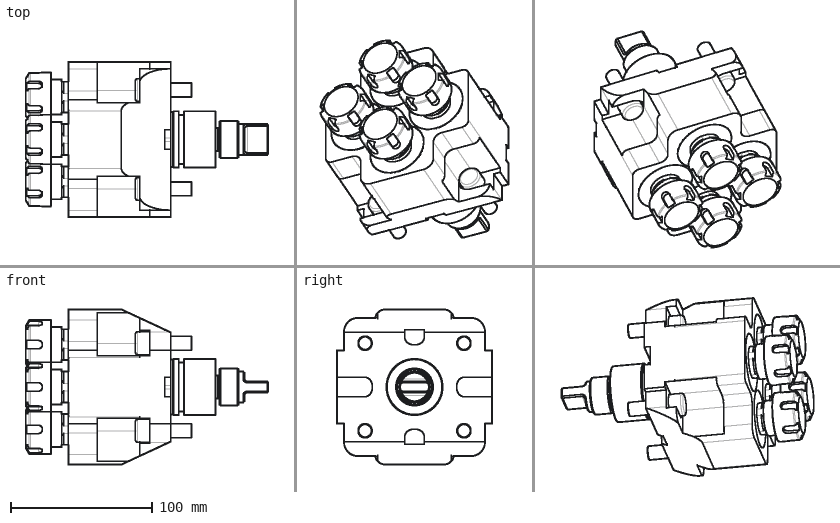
import cadquery as cq
import math


BODY_SPAN = 110.0
BODY_LENGTH = 72.5
TALL_ARM_WIDTH = 56.0
WIDE_ARM_HEIGHT = 52.0
TALL_ARM_RADIUS = 7.5
WIDE_ARM_RADIUS = 5.0
INNER_CORNER_RADIUS = 6.5
SLOPE_LENGTH = 35.0
SLOPE_ANGLE = 25.0

FLANGE_THICKNESS = 22.0
FLANGE_WIDTH = 100.0
FLANGE_HEIGHT = 98.0
FLANGE_RADIUS = 10.0

BOLT_Y = 35.0
BOLT_Z = 31.0
BOLT_DIAMETER = 10.0
BOLT_PROTRUSION = 15.0
BOLT_END_CHAMFER = 0.5
BOLT_HEAD_DIAMETER = 16.0
BOLT_HEAD_HEIGHT = 10.0
BOLT_HEAD_FILLET = 1.4
BOLT_SEAT_X = -15.0
POCKET_START_X = -52.0
POCKET_RADIUS = 9.0

KEY_SLOT_WIDTH = 14.0
KEY_SLOT_DEPTH = 4.2
KEY_SLOT_FLOOR_RADIUS = 30.0
KEY_SLOT_CORNER_RADIUS = 5.7

SPINDLE_OFFSET = 30.0
SEAL_OUTER_DIAMETER = 41.2
SEAL_INNER_DIAMETER = 41.0
SEAL_DEPTH = 1.0
NECK_DIAMETER = 22.6
NECK_CONE_DIAMETER = 24.0
NECK_CONE_LENGTH = 1.7
NECK_LENGTH = 4.85
NECK_ACROSS_FLATS = 22.0
COLLAR_DIAMETER = 25.0
COLLAR_LENGTH = 7.3
NUT_DIAMETER = 35.0
NUT_FACE_DIAMETER = 26.0
NUT_LENGTH = 18.2
NUT_CONE_ANGLE = 60.0
NUT_FILLET = 1.0
NUT_BACK_CHAMFER = 0.4
NUT_SLOT_COUNT = 6
NUT_SLOT_WIDTH = 6.0
NUT_SLOT_LENGTH = 12.0
NUT_SLOT_FLOOR_RADIUS = 14.3

PILOT_DIAMETER = 40.0
PILOT_LENGTH = 32.0
PILOT_CHAMFER = 0.5
UNDERCUT_DIAMETER = 39.2
UNDERCUT_END_X = 1.5
SEAL_GROOVE_DIAMETER = 35.0
SEAL_GROOVE_START_X = 5.7
SEAL_GROOVE_END_X = 9.1
SHAFT_SHOULDER_DIAMETER = 16.6
SHAFT_SHOULDER_END_X = 33.2
SHAFT_DIAMETER = 16.0
DRIVE_DIAMETER = 26.5
DRIVE_START_X = 34.2
DRIVE_END_X = 48.2
DRIVE_CHAMFER = 1.0
TANG_DIAMETER = 22.0
TANG_ROOT_X = 52.2
TANG_ROOT_FILLET = 2.0
TANG_THICKNESS = 8.0
TANG_EDGE_CHAMFER = 1.0
TANG_END_X = 69.17
TANG_END_CHAMFER = 1.0

SIDES = (-1, 1)
CORNERS = [(y_side, z_side) for y_side in SIDES for z_side in SIDES]
QUARTER_TURNS = (0, 90, 180, 270)
SELECTION_MARGIN = 1.0


def block(x_start, x_end, width, height):
    """Box from x_start to x_end, centred on the drive axis."""
    return cq.Workplane("XY").box(x_end - x_start, width, height).translate(((x_start + x_end) / 2, 0, 0))


def disc(x_start, x_end, diameter, y=0.0, z=0.0):
    """Cylinder along X from x_start to x_end."""
    return cq.Workplane("YZ", origin=(x_start, y, z)).circle(diameter / 2).extrude(x_end - x_start)


def make_cross():
    tall_arm = block(-BODY_LENGTH, 0, TALL_ARM_WIDTH, BODY_SPAN).edges("|X").fillet(TALL_ARM_RADIUS)
    wide_arm = block(-BODY_LENGTH, 0, BODY_SPAN, WIDE_ARM_HEIGHT).edges("|X").fillet(WIDE_ARM_RADIUS)
    reach_y = TALL_ARM_WIDTH / 2 + SELECTION_MARGIN
    reach_z = WIDE_ARM_HEIGHT / 2 + SELECTION_MARGIN
    inner_corners = cq.selectors.BoxSelector((-BODY_LENGTH, -reach_y, -reach_z), (0, reach_y, reach_z))
    return tall_arm.union(wide_arm).edges("|X").edges(inner_corners).fillet(INNER_CORNER_RADIUS)


def make_flange():
    plate = block(-FLANGE_THICKNESS, 0, FLANGE_WIDTH, FLANGE_HEIGHT).edges("|X").fillet(FLANGE_RADIUS)
    return plate.union(block(-FLANGE_THICKNESS, 0, BODY_SPAN, WIDE_ARM_HEIGHT))


def make_slope_cutter(side):
    """Wedge that slopes the top or bottom of the body down to the mounting face."""
    half_span = BODY_SPAN / 2
    drop = SLOPE_LENGTH * math.tan(math.radians(SLOPE_ANGLE))
    corners = [(-SLOPE_LENGTH, side * half_span), (0, side * half_span), (0, side * (half_span - drop))]
    return cq.Workplane("XZ").polyline(corners).close().extrude(half_span, both=True)


def make_pocket_cutter(y_side, z_side):
    """Clearance for one bolt head: open corner behind the flange, round-ended recess inside it."""
    inner_y = BOLT_Y - POCKET_RADIUS
    inner_z = BOLT_Z - POCKET_RADIUS
    reach = BODY_SPAN / 2 - inner_y
    rise = BODY_SPAN / 2 - inner_z
    corner = (
        cq.Workplane("XY")
        .box(-FLANGE_THICKNESS - POCKET_START_X, reach, rise, centered=False)
        .translate((POCKET_START_X, inner_y, inner_z))
        .edges("|X and <Y and <Z")
        .fillet(POCKET_RADIUS)
    )
    recess = disc(-FLANGE_THICKNESS, BOLT_SEAT_X, 2 * POCKET_RADIUS, BOLT_Y, BOLT_Z).union(
        cq.Workplane("XY")
        .box(BOLT_SEAT_X + FLANGE_THICKNESS, BODY_SPAN / 2 - BOLT_Y, 2 * POCKET_RADIUS, centered=False)
        .translate((-FLANGE_THICKNESS, BOLT_Y, inner_z))
    )
    cutter = corner.union(recess)
    if y_side < 0:
        cutter = cutter.mirror("XZ")
    if z_side < 0:
        cutter = cutter.mirror("XY")
    return cutter


def make_key_slot(angle):
    """Radial slot in the mounting face, with rounded inner corners."""
    length = BODY_SPAN / 2 - KEY_SLOT_FLOOR_RADIUS
    return (
        cq.Workplane("XY")
        .box(KEY_SLOT_DEPTH, length, KEY_SLOT_WIDTH)
        .edges("|X and <Y")
        .fillet(KEY_SLOT_CORNER_RADIUS)
        .translate((-KEY_SLOT_DEPTH / 2, KEY_SLOT_FLOOR_RADIUS + length / 2, 0))
        .rotate((0, 0, 0), (1, 0, 0), angle)
    )


def make_bolt(y, z):
    head = disc(BOLT_SEAT_X - BOLT_HEAD_HEIGHT, BOLT_SEAT_X, BOLT_HEAD_DIAMETER, y, z)
    head = head.faces("<X").edges().fillet(BOLT_HEAD_FILLET)
    shank = disc(BOLT_SEAT_X, BOLT_PROTRUSION, BOLT_DIAMETER, y, z)
    shank = shank.faces(">X").edges().chamfer(BOLT_END_CHAMFER)
    return head.union(shank)


def make_nut(back_x):
    """Collet nut: conical front edge and wrench slots open to the front."""
    front_x = back_x - NUT_LENGTH
    radius = NUT_DIAMETER / 2
    face_radius = NUT_FACE_DIAMETER / 2
    cone_length = (radius - face_radius) / math.tan(math.radians(NUT_CONE_ANGLE))
    rim_x = front_x + cone_length
    nut = (
        cq.Workplane("XY")
        .polyline([(front_x, 0), (front_x, face_radius), (rim_x, radius), (back_x, radius), (back_x, 0)])
        .close()
        .revolve(360, (0, 0, 0), (1, 0, 0))
    )
    nut = nut.edges("%CIRCLE").edges(">>X[1]").fillet(NUT_FILLET)
    nut = nut.faces(">X").edges().chamfer(NUT_BACK_CHAMFER)

    straight = NUT_SLOT_LENGTH - NUT_SLOT_WIDTH / 2
    slot = (
        cq.Workplane("XZ", origin=(front_x, -NUT_SLOT_FLOOR_RADIUS, 0))
        .moveTo(0, -NUT_SLOT_WIDTH / 2)
        .lineTo(straight, -NUT_SLOT_WIDTH / 2)
        .threePointArc((NUT_SLOT_LENGTH, 0), (straight, NUT_SLOT_WIDTH / 2))
        .lineTo(0, NUT_SLOT_WIDTH / 2)
        .close()
        .extrude(radius)
    )
    for index in range(NUT_SLOT_COUNT):
        nut = nut.cut(slot.rotate((0, 0, 0), (1, 0, 0), index * 360 / NUT_SLOT_COUNT))
    return nut


def make_spindle():
    """Neck with four wrench flats, collar and collet nut, on the drive axis."""
    face_x = -BODY_LENGTH
    collar_x = face_x - NECK_LENGTH
    nut_x = collar_x - COLLAR_LENGTH
    neck_radius = NECK_DIAMETER / 2
    neck_outline = [
        (face_x, 0),
        (face_x, neck_radius),
        (collar_x + NECK_CONE_LENGTH, neck_radius),
        (collar_x, NECK_CONE_DIAMETER / 2),
        (collar_x, 0),
    ]
    neck = cq.Workplane("XY").polyline(neck_outline).close().revolve(360, (0, 0, 0), (1, 0, 0))
    neck = neck.intersect(block(collar_x, face_x, NECK_ACROSS_FLATS, NECK_ACROSS_FLATS))
    return neck.union(disc(nut_x, collar_x, COLLAR_DIAMETER)).union(make_nut(nut_x))


def make_seal_gap():
    """Narrow ring gap in the front face around a spindle."""
    start = -BODY_LENGTH
    end = start + SEAL_DEPTH
    return disc(start, end, SEAL_OUTER_DIAMETER).cut(disc(start, end, SEAL_INNER_DIAMETER))


def make_tang():
    """Flat driving tang: round bar relieved on both sides, with bevelled edges and rounded roots."""
    radius = TANG_DIAMETER / 2
    half_thickness = TANG_THICKNESS / 2
    fillet_end_x = TANG_ROOT_X + TANG_ROOT_FILLET
    inset = TANG_ROOT_FILLET * (1 - math.sqrt(0.5))
    relief = (
        cq.Workplane("XZ")
        .moveTo(TANG_ROOT_X, radius)
        .lineTo(TANG_ROOT_X, half_thickness + TANG_ROOT_FILLET)
        .threePointArc((TANG_ROOT_X + inset, half_thickness + inset), (fillet_end_x, half_thickness))
        .lineTo(TANG_END_X, half_thickness)
        .lineTo(TANG_END_X, radius)
        .close()
        .extrude(radius, both=True)
    )
    bar = disc(DRIVE_END_X, TANG_END_X, TANG_DIAMETER)
    bar = bar.cut(relief).cut(relief.mirror("XY"))
    for side in SIDES:
        relief_box = cq.selectors.BoxSelector(
            (TANG_ROOT_X - TANG_EDGE_CHAMFER, -radius, side * (half_thickness - TANG_EDGE_CHAMFER)),
            (TANG_END_X, radius, side * (radius + TANG_EDGE_CHAMFER)),
        )
        bar = bar.edges(relief_box).edges("not |Y").chamfer(TANG_EDGE_CHAMFER)
    return bar.faces(">X").edges().chamfer(TANG_END_CHAMFER)


def make_shank():
    pilot = disc(0, UNDERCUT_END_X, UNDERCUT_DIAMETER)
    front_pilot = disc(UNDERCUT_END_X, SEAL_GROOVE_START_X, PILOT_DIAMETER)
    pilot = pilot.union(front_pilot.faces("<X").edges().chamfer(PILOT_CHAMFER))
    pilot = pilot.union(disc(SEAL_GROOVE_START_X, SEAL_GROOVE_END_X, SEAL_GROOVE_DIAMETER))
    main_pilot = disc(SEAL_GROOVE_END_X, PILOT_LENGTH, PILOT_DIAMETER)
    pilot = pilot.union(main_pilot.edges("%CIRCLE").chamfer(PILOT_CHAMFER))
    shaft = disc(PILOT_LENGTH, SHAFT_SHOULDER_END_X, SHAFT_SHOULDER_DIAMETER)
    shaft = shaft.union(disc(SHAFT_SHOULDER_END_X, DRIVE_START_X, SHAFT_DIAMETER))
    drive = disc(DRIVE_START_X, DRIVE_END_X, DRIVE_DIAMETER).edges("%CIRCLE").chamfer(DRIVE_CHAMFER)
    return pilot.union(shaft).union(drive).union(make_tang())


def spindle_position(angle):
    """Centre of the spindle at the given angle around the drive axis."""
    turn = math.radians(angle)
    return (0, SPINDLE_OFFSET * math.cos(turn), SPINDLE_OFFSET * math.sin(turn))


def make_housing():
    """Body and flange with slopes, bolt pockets, key slots and the seal gaps cut in."""
    housing = make_cross().union(make_flange())
    for side in SIDES:
        housing = housing.cut(make_slope_cutter(side))
    for y_side, z_side in CORNERS:
        housing = housing.cut(make_pocket_cutter(y_side, z_side))
    seal_gap = make_seal_gap()
    for angle in QUARTER_TURNS:
        housing = housing.cut(make_key_slot(angle))
        housing = housing.cut(seal_gap.translate(spindle_position(angle)))
    return housing


result = make_housing().union(make_shank())
for y_side, z_side in CORNERS:
    result = result.union(make_bolt(y_side * BOLT_Y, z_side * BOLT_Z))
spindle = make_spindle()
for angle in QUARTER_TURNS:
    result = result.union(spindle.translate(spindle_position(angle)))